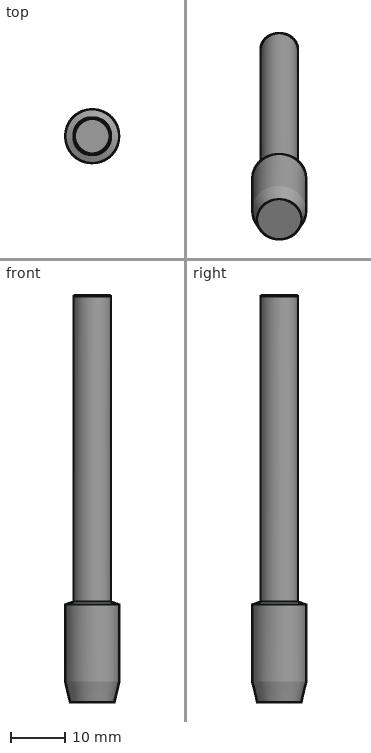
import cadquery as cq

total_height = 75.0
sleeve_diameter = 10.0
sleeve_height = 18.5
tip_diameter = 8.2
taper_height = 3.75
shoulder_drop = 0.5
rod_diameter = 7.0
rod_chamfer = 0.3

rod_radius = rod_diameter / 2
sleeve_radius = sleeve_diameter / 2
tip_radius = tip_diameter / 2


def make_rod():
    """Round rod standing on the sleeve, with a chamfered top edge."""
    rod = cq.Workplane("XY").workplane(offset=sleeve_height).circle(rod_radius)
    return rod.extrude(total_height - sleeve_height).faces(">Z").chamfer(rod_chamfer)


def make_sleeve():
    """Turned sleeve with a tapered lower end and a sloping top shoulder."""
    profile = (
        cq.Workplane("XZ")
        .lineTo(tip_radius, 0)
        .lineTo(sleeve_radius, taper_height)
        .lineTo(sleeve_radius, sleeve_height - shoulder_drop)
        .lineTo(rod_radius, sleeve_height)
        .lineTo(0, sleeve_height)
        .close()
    )
    return profile.revolve(360, (0, 0, 0), (0, 1, 0))


rod = make_rod()
sleeve = make_sleeve()

result = cq.Compound.makeCompound([rod.val(), sleeve.val()])